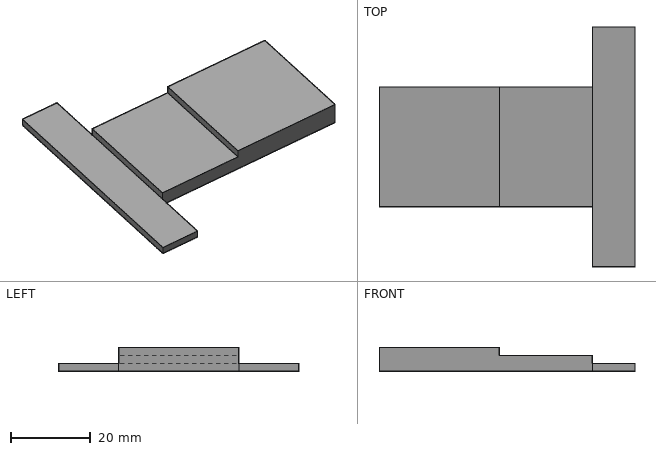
import cadquery as cq

length = 64.0
crossbar_width = 60.0
height = 6.0

step_height = height / 3
crossbar_length = 10.7
body_width = crossbar_width / 2
block_length = body_width
body_length = length - crossbar_length


def plate(x_start, x_end, width, thickness):
    """Flat plate resting on Z = 0 and centred on Y = 0."""
    return (
        cq.Workplane("XY")
        .box(x_end - x_start, width, thickness, centered=(False, True, False))
        .translate((x_start, 0, 0))
    )


thick_block = plate(0, block_length, body_width, height)
middle_plate = plate(block_length, body_length, body_width, 2 * step_height)
crossbar = plate(body_length, length, crossbar_width, step_height)

result = thick_block.union(middle_plate).union(crossbar)